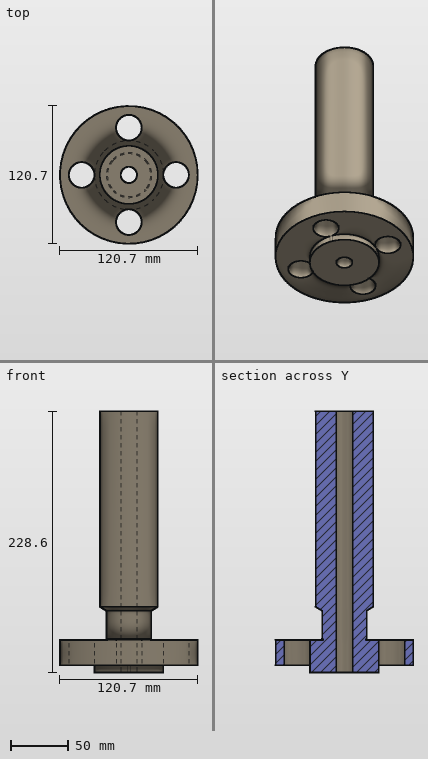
import cadquery as cq

total_height = 228.6

flange_diameter = 120.65
flange_thickness = 22.35
bolt_hole_diameter = 22.225
bolt_circle_diameter = 82.55
bolt_count = 4

face_diameter = 60.5
face_height = 6.35

neck_diameter = 39.6
neck_height = 25.4
neck_foot_chamfer = 1.0
barrel_diameter = 50.8
barrel_taper_height = 3.3
bore_diameter = 14.0

flange_top = face_height + flange_thickness
neck_top = flange_top + neck_height
barrel_start = neck_top + barrel_taper_height


def turned_body():
    """Revolved outer shape: raised face, flange, neck and barrel."""
    face_radius = face_diameter / 2
    flange_radius = flange_diameter / 2
    neck_radius = neck_diameter / 2
    barrel_radius = barrel_diameter / 2
    profile = [
        (0, 0),
        (face_radius, 0),
        (face_radius, face_height),
        (flange_radius, face_height),
        (flange_radius, flange_top),
        (neck_radius - neck_foot_chamfer, flange_top),
        (neck_radius, flange_top + neck_foot_chamfer),
        (neck_radius, neck_top),
        (barrel_radius, barrel_start),
        (barrel_radius, total_height),
        (0, total_height),
    ]
    return cq.Workplane("XZ").polyline(profile).close().revolve(360, (0, 0), (0, 1))


def bore():
    """Straight bore along the full length of the axis."""
    return cq.Workplane("XY").circle(bore_diameter / 2).extrude(total_height)


def bolt_holes():
    """Flange through holes on the X and Y axes, just grazing the rim of the raised face."""
    return (
        cq.Workplane("XY")
        .polarArray(bolt_circle_diameter / 2, 0, 360, bolt_count)
        .circle(bolt_hole_diameter / 2)
        .extrude(flange_top)
    )


result = turned_body().cut(bore()).cut(bolt_holes())